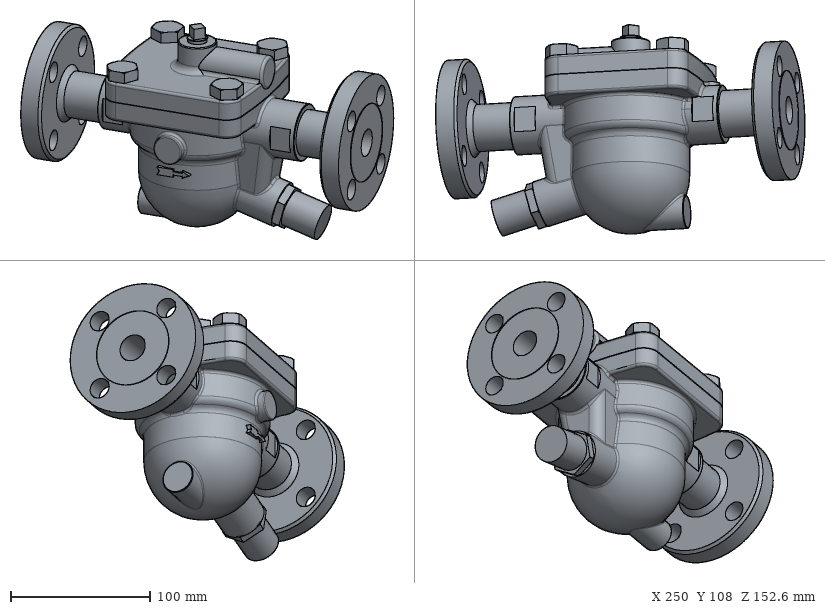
import cadquery as cq
import math

LENGTH = 250.0
BODY_X = -7.8
TOP_Z = 68.8
BOTTOM_Z = -83.8

FLANGE_D = 100.0
FLANGE_BACK_X = 109.0
FLANGE_CHAMFER = 2.0
RAISED_FACE_D = 57.5
RAISED_FACE_HEIGHT = 0.5
FLANGE_HOLE_D = 15.0
FLANGE_HOLE_CIRCLE_D = 75.0
HUB_D = 42.0
HUB_LENGTH = 4.0
PIPE_D = 34.0
BORE_D = 20.0
SOCKET_D = 42.0
SOCKET_END_X = 77.0
SOCKET_CHAMFER = 0.5
FLAT_START_X = 58.0
FLAT_END_X = 73.5
FLAT_HEIGHT = 18.5
FLAT_OFFSET = 19.0

UPPER_R = 48.5
BOWL_R = 42.5
STEP_TOP_Z = -11.8
STEP_BOTTOM_Z = -22.2
DOME_Z = BOTTOM_Z + BOWL_R

COVER_TOP_Z = 38.0
JOINT_Z = 23.2
JOINT_GROOVE = 0.2
COVER_BOTTOM_Z = 8.5
COVER_HALF_Y = 54.0
COVER_MID_HALF_X = 55.5
COVER_END_HALF_X = 51.5
COVER_CORNER_R = 12.5
COVER_EDGE_R = 2.0
BOLT_OFFSET = 41.0
BOLT_FLATS = 21.0
BOLT_HEIGHT = 8.2
BOLT_CHAMFER = 0.8
CHAMFER_SLOPE = 1.5

BOSS_D = 28.0
BOSS_TOP_Z = 57.5
BOSS_CHAMFER = 0.8
BOSS_FILLET = 5.2
COLLAR_D = 14.0
COLLAR_LIP_D = 15.0
COLLAR_TOP_Z = 60.5
COLLAR_LIP_HEIGHT = 0.5
SQUARE_DIAGONAL = 12.5
DUCT_D = 25.0
DUCT_END_X = 48.5
DUCT_TOP_Z = 54.2
DUCT_EDGE_R = 2.2
DUCT_FOOT_WIDTH = 29.5
DUCT_FOOT_HEIGHT = 3.0

PLUG_D = 21.5
PLUG_Z = -7.5
PLUG_EDGE = 0.8
DRAIN_D = 24.0
DRAIN_END_X = -49.5
DRAIN_Z = -70.8
DRAIN_EDGE = 0.5

BRANCH_TILT = 15.0
BRANCH_END = (90.8, 0, -67.5)
BRANCH_LENGTH = 87.5
BRANCH_D = 27.0
BRANCH_NECK_D = 34.0
NUT_START = 26.8
NUT_END = 33.0
NUT_FLATS = 30.0
NUT_CHAMFER = 0.8

WEB_TOP_Z = -4.8
WEB_TOP_X = 58.5
WEB_BOTTOM_X = 51.0
WEB_INNER_X = 20.0
WEB_BOTTOM_Z = -52.5
WEB_TOP_HALF_Y = 20.2
WEB_BOTTOM_HALF_Y = 15.0
WEB_EDGE_R = 8.5

FLANGE_ROOT_R = 2.2
SOCKET_ROOT_R = 2.0
BRANCH_ROOT_R = 2.0
WEB_ROOT_R = 2.0
PLUG_ROOT_R = 2.0
DRAIN_ROOT_R = 1.2
TOUCH_TOLERANCE = 0.002

TAB_TIP_X = -73.5
TAB_WIDTH = 12.5
TAB_TOP_Z = 23.0
ARROW_FACE_Y = -44.0
ARROW_Z = -29.0


def blend(body, piece, radius):
    """Unite a piece with the body and round the seam where their surfaces meet."""
    joined = body.union(piece)
    seam = []
    for edge in joined.edges().vals():
        middle = cq.Vertex.makeVertex(*edge.positionAt(0.5).toTuple())
        if max(middle.distance(body.val()), middle.distance(piece.val())) < TOUCH_TOLERANCE:
            seam.append(edge)
    return joined.newObject(seam).fillet(radius)


def disc(x_start, x_end, diameter):
    """Cylinder on the pipe axis between two X positions."""
    return cq.Workplane("YZ").workplane(offset=x_start).circle(diameter / 2).extrude(x_end - x_start)


def column(z_start, z_end, diameter):
    """Cylinder on the body axis between two heights."""
    plane = cq.Workplane("XY").workplane(offset=z_start)
    return plane.center(BODY_X, 0).circle(diameter / 2).extrude(z_end - z_start)


def hexagon(plane, flats, height, chamfer, turn=0):
    """Hexagonal head whose end corners are trimmed by a conical chamfer."""
    across_corners = flats / math.cos(math.pi / 6)
    head = plane.transformed(rotate=(0, 0, turn)).polygon(6, across_corners).extrude(height)
    far_end = cq.selectors.DirectionMinMaxSelector(plane.plane.zDir, True)
    trim = plane.circle(across_corners / 2).extrude(height)
    trim = trim.faces(far_end).chamfer(chamfer, chamfer * CHAMFER_SLOPE)
    return head.intersect(trim)


def pipe_end():
    """Flange, hub and pipe on the +X side."""
    face_x = LENGTH / 2
    flange = disc(FLANGE_BACK_X, face_x - RAISED_FACE_HEIGHT, FLANGE_D)
    flange = flange.faces("<X").chamfer(FLANGE_CHAMFER)
    flange = flange.union(disc(FLANGE_BACK_X, face_x, RAISED_FACE_D))
    holes = (
        cq.Workplane("YZ")
        .workplane(offset=FLANGE_BACK_X)
        .polarArray(FLANGE_HOLE_CIRCLE_D / 2, 45, 360, 4)
        .circle(FLANGE_HOLE_D / 2)
        .extrude(face_x - FLANGE_BACK_X)
    )
    hub = (
        cq.Workplane("XY")
        .moveTo(FLAT_END_X, 0)
        .lineTo(FLAT_END_X, PIPE_D / 2)
        .lineTo(FLANGE_BACK_X - HUB_LENGTH, PIPE_D / 2)
        .lineTo(FLANGE_BACK_X, HUB_D / 2)
        .lineTo(FLANGE_BACK_X, 0)
        .close()
        .revolve(360, (0, 0, 0), (1, 0, 0))
    )
    return flange.cut(holes).union(hub)


def socket():
    """Pipe socket on the +X side."""
    return disc(0, SOCKET_END_X, SOCKET_D).faces(">X").chamfer(SOCKET_CHAMFER)


def wrench_flats():
    """Material to remove from both sides of the +X socket for its wrench flats."""
    depth = SOCKET_D / 2 - FLAT_OFFSET
    slab = cq.Workplane("XY").box(FLAT_END_X - FLAT_START_X, depth, FLAT_HEIGHT)
    middle_x = (FLAT_START_X + FLAT_END_X) / 2
    middle_y = FLAT_OFFSET + depth / 2
    return slab.translate((middle_x, middle_y, 0)).union(slab.translate((middle_x, -middle_y, 0)))


def bowl():
    """Round body: wide upper drum, S-shaped shoulder, cylinder and hemispherical bottom."""
    mid_r = (UPPER_R + BOWL_R) / 2
    mid_z = (STEP_TOP_Z + STEP_BOTTOM_Z) / 2
    diagonal = BOWL_R * math.sqrt(0.5)
    top_z = (COVER_BOTTOM_Z + JOINT_Z) / 2
    profile = (
        cq.Workplane("XZ")
        .moveTo(0, top_z)
        .lineTo(UPPER_R, top_z)
        .lineTo(UPPER_R, STEP_TOP_Z)
        .tangentArcPoint((mid_r, mid_z), relative=False)
        .tangentArcPoint((BOWL_R, STEP_BOTTOM_Z), relative=False)
        .lineTo(BOWL_R, DOME_Z)
        .threePointArc((diagonal, DOME_Z - diagonal), (0, BOTTOM_Z))
        .close()
    )
    return profile.revolve(360, (0, 0, 0), (0, 1, 0)).translate((BODY_X, 0, 0))


def plate(z_start, z_end, inset=0):
    """Square plate with two bowed sides and rounded corners."""
    half_y = COVER_HALF_Y - inset
    end_x = COVER_END_HALF_X - inset
    mid_x = COVER_MID_HALF_X - inset
    outline = (
        cq.Workplane("XY")
        .workplane(offset=z_start)
        .center(BODY_X, 0)
        .moveTo(-end_x, -half_y)
        .lineTo(end_x, -half_y)
        .threePointArc((mid_x, 0), (end_x, half_y))
        .lineTo(-end_x, half_y)
        .threePointArc((-mid_x, 0), (-end_x, -half_y))
        .close()
    )
    return outline.extrude(z_end - z_start).edges("|Z").fillet(COVER_CORNER_R - inset)


def body_flange():
    """Flange at the top of the bowl."""
    return plate(COVER_BOTTOM_Z, JOINT_Z - JOINT_GROOVE / 2).faces("<Z").edges().fillet(COVER_EDGE_R)


def cover():
    """Cover, hairline joint below it and four bolt heads."""
    solid = plate(JOINT_Z + JOINT_GROOVE / 2, COVER_TOP_Z).faces(">Z").edges().fillet(COVER_EDGE_R)
    solid = solid.union(plate(JOINT_Z - JOINT_GROOVE, JOINT_Z + JOINT_GROOVE, JOINT_GROOVE))
    for x_side in (-1, 1):
        for y_side in (-1, 1):
            seat = cq.Workplane("XY", origin=(
                BODY_X + x_side * BOLT_OFFSET, y_side * BOLT_OFFSET, COVER_TOP_Z))
            turn = 0 if x_side == y_side else 30
            solid = solid.union(hexagon(seat, BOLT_FLATS, BOLT_HEIGHT, BOLT_CHAMFER, turn))
    return solid


def stem():
    """Flared boss with collar and square spindle, and the half-round duct leading to +X."""
    boss_r = BOSS_D / 2
    root_r = boss_r + BOSS_FILLET
    arc_shift = BOSS_FILLET * (1 - math.sqrt(0.5))
    boss = (
        cq.Workplane("XZ")
        .moveTo(0, JOINT_Z)
        .lineTo(root_r, JOINT_Z)
        .lineTo(root_r, COVER_TOP_Z)
        .threePointArc((boss_r + arc_shift, COVER_TOP_Z + arc_shift), (boss_r, COVER_TOP_Z + BOSS_FILLET))
        .lineTo(boss_r, BOSS_TOP_Z - BOSS_CHAMFER)
        .lineTo(boss_r - BOSS_CHAMFER, BOSS_TOP_Z)
        .lineTo(0, BOSS_TOP_Z)
        .close()
        .revolve(360, (0, 0, 0), (0, 1, 0))
        .translate((BODY_X, 0, 0))
    )
    collar = column(BOSS_TOP_Z, COLLAR_TOP_Z, COLLAR_D)
    lip = column(COLLAR_TOP_Z - COLLAR_LIP_HEIGHT, COLLAR_TOP_Z, COLLAR_LIP_D)
    spindle = (
        cq.Workplane("XY", origin=(BODY_X, 0, COLLAR_TOP_Z))
        .polygon(4, SQUARE_DIAGONAL)
        .extrude(TOP_Z - COLLAR_TOP_Z)
    )
    duct_length = DUCT_END_X - BODY_X
    duct = (
        cq.Workplane("YZ", origin=(BODY_X, 0, DUCT_TOP_Z - DUCT_D / 2))
        .circle(DUCT_D / 2)
        .extrude(duct_length)
        .faces(">X")
        .edges()
        .fillet(DUCT_EDGE_R)
    )
    foot_length = duct_length - DUCT_EDGE_R
    inner_y = DUCT_D / 2
    outer_y = DUCT_FOOT_WIDTH / 2
    middle_y = inner_y + (outer_y - inner_y) * (1 - math.sqrt(0.5))
    middle_z = DUCT_FOOT_HEIGHT * (1 - math.sqrt(0.5))
    foot = (
        cq.Workplane("YZ", origin=(BODY_X, 0, COVER_TOP_Z))
        .moveTo(-outer_y, 0)
        .threePointArc((-middle_y, middle_z), (-inner_y, DUCT_FOOT_HEIGHT))
        .lineTo(inner_y, DUCT_FOOT_HEIGHT)
        .threePointArc((middle_y, middle_z), (outer_y, 0))
        .close()
        .extrude(foot_length)
    )
    return boss.union(collar).union(lip).union(spindle).union(duct).union(foot)


def plug():
    """Round plug boss on the -Y side of the drum."""
    depth = COVER_HALF_Y
    pin = cq.Workplane("XZ", origin=(BODY_X, 0, PLUG_Z)).circle(PLUG_D / 2).extrude(depth)
    return pin.faces("<Y").edges().fillet(PLUG_EDGE)


def drain():
    """Horizontal drain boss low on the -X side of the bowl."""
    pin = disc(DRAIN_END_X, BODY_X, DRAIN_D).faces("<X").chamfer(DRAIN_EDGE)
    return pin.translate((0, 0, DRAIN_Z))


def branch():
    """Inclined strainer neck with hexagon nut and end pipe."""
    tilt = math.radians(BRANCH_TILT)
    inward = (-math.cos(tilt), 0, math.sin(tilt))
    across = (math.sin(tilt), 0, math.cos(tilt))
    plane = cq.Workplane(cq.Plane(origin=BRANCH_END, xDir=across, normal=inward))
    pipe = plane.circle(BRANCH_D / 2).extrude(NUT_END)
    nut = hexagon(plane.workplane(offset=NUT_START), NUT_FLATS, NUT_END - NUT_START, NUT_CHAMFER)
    neck_length = BRANCH_LENGTH - NUT_END
    neck = plane.workplane(offset=NUT_END).circle(BRANCH_NECK_D / 2).extrude(neck_length)
    return pipe.union(nut).union(neck)


def web():
    """Tapered web with rounded outer edges, from the outlet socket down to the branch."""
    block = (
        cq.Workplane("XZ")
        .moveTo(WEB_INNER_X, WEB_TOP_Z)
        .lineTo(WEB_TOP_X, WEB_TOP_Z)
        .lineTo(WEB_BOTTOM_X, WEB_BOTTOM_Z)
        .lineTo(WEB_INNER_X, WEB_BOTTOM_Z)
        .close()
        .extrude(WEB_TOP_HALF_Y, both=True)
    )
    taper = (
        cq.Workplane("YZ")
        .moveTo(-WEB_TOP_HALF_Y, WEB_TOP_Z)
        .lineTo(WEB_TOP_HALF_Y, WEB_TOP_Z)
        .lineTo(WEB_BOTTOM_HALF_Y, WEB_BOTTOM_Z)
        .lineTo(-WEB_BOTTOM_HALF_Y, WEB_BOTTOM_Z)
        .close()
        .extrude(WEB_TOP_X)
    )
    return block.intersect(taper).faces(">X").edges("not |Y").fillet(WEB_EDGE_R)


def tab():
    """Round-nosed tab on top of the inlet socket."""
    nose_x = TAB_TIP_X + TAB_WIDTH / 2
    root_x = BODY_X - BOWL_R
    return (
        cq.Workplane("XY")
        .moveTo(root_x, TAB_WIDTH / 2)
        .lineTo(nose_x, TAB_WIDTH / 2)
        .threePointArc((TAB_TIP_X, 0), (nose_x, -TAB_WIDTH / 2))
        .lineTo(root_x, -TAB_WIDTH / 2)
        .close()
        .extrude(TAB_TOP_Z)
    )


def flow_arrow():
    """Raised flow arrow, pointing to +X, on the front of the bowl."""
    tail_x = -12.5
    notch_x = -11.0
    barb_x = 0
    head_x = 7.0
    tip_x = 12.8
    tail_half = 3.0
    shaft_half = 1.2
    head_half = 2.8
    upper = [(tail_x, tail_half), (barb_x, tail_half), (barb_x, shaft_half),
             (head_x, shaft_half), (head_x, head_half)]
    lower = [(x, -z) for x, z in reversed(upper)]
    points = [(notch_x, 0)] + upper + [(tip_x, 0)] + lower
    plane = cq.Workplane("XZ", origin=(BODY_X, 0, ARROW_Z))
    return plane.polyline(points).close().extrude(-ARROW_FACE_Y)


body = blend(bowl(), body_flange(), FLANGE_ROOT_R)
body = blend(body, socket().mirror("YZ"), SOCKET_ROOT_R)
body = blend(body, socket(), SOCKET_ROOT_R)
body = blend(body, branch(), BRANCH_ROOT_R)
body = blend(body, web(), WEB_ROOT_R)
body = blend(body, plug(), PLUG_ROOT_R)
body = blend(body, drain(), DRAIN_ROOT_R)

body = body.union(cover()).union(stem()).union(tab()).union(flow_arrow())

bore_end = disc(SOCKET_END_X, LENGTH / 2, BORE_D)
for mirrored in (False, True):
    parts = [pipe_end(), bore_end, wrench_flats()]
    if mirrored:
        parts = [part.mirror("YZ") for part in parts]
    end, bore, flats = parts
    body = body.union(end).cut(bore).cut(flats)

result = body